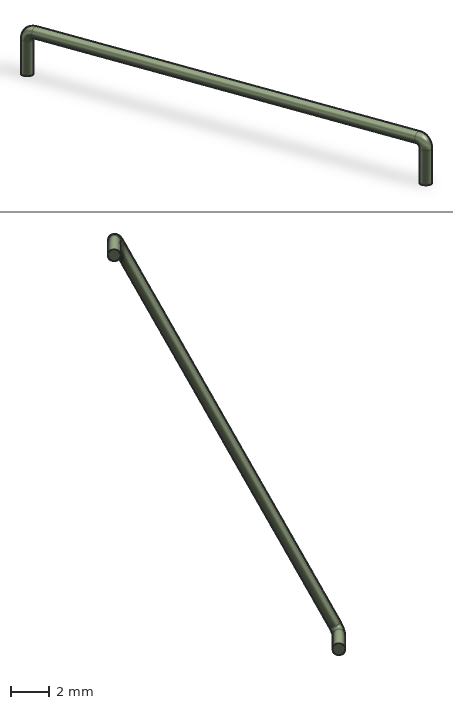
import cadquery as cq

length = 25.65
height = 2.82
wire_diameter = 0.67
inner_bend_radius = 0.15

wire_radius = wire_diameter / 2
bend_radius = inner_bend_radius + wire_radius
leg_x = length / 2 - wire_radius
bar_z = height - wire_radius
leg_top_z = bar_z - bend_radius
bar_end_x = leg_x - bend_radius

centreline = (
    cq.Workplane("XZ")
    .moveTo(-leg_x, 0)
    .lineTo(-leg_x, leg_top_z)
    .tangentArcPoint((-bar_end_x, bar_z), relative=False)
    .lineTo(bar_end_x, bar_z)
    .tangentArcPoint((leg_x, leg_top_z), relative=False)
    .lineTo(leg_x, 0)
)

result = cq.Workplane("XY").center(-leg_x, 0).circle(wire_radius).sweep(centreline)